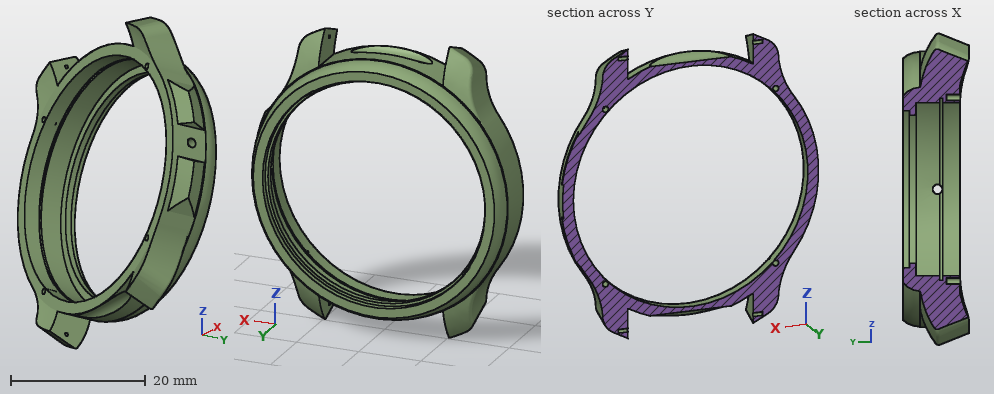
import cadquery as cq
import math


CUT_MARGIN = 1.0

CASE_RADIUS = 20.5
CASE_HEIGHT = 6.0
TOTAL_HEIGHT = 8.5
SHOULDER = 0.1
BEZEL_BASE_RADIUS = CASE_RADIUS - SHOULDER
BEZEL_TOP_RADIUS = 19.4
BEZEL_MID = (20.14, 7.32)
BORE_RADIUS = 18.7
OPENING_RADIUS = 17.45
BORE_DEPTH = 6.5
GROOVE_RADIUS = 19.15
GROOVE_START = 2.6
GROOVE_WIDTH = 0.4
GLASS_SEAT_RADIUS = 17.9
GLASS_SEAT_DEPTH = 1.0

SCREW_OFFSET = 13.6
SCREW_RADIUS = 0.42
SCREW_DEPTH = 2.0

LUG_GAP = 20.0
LUG_DROP = 1.36
LUG_ROOT_RADIUS = 19.5
LUG_HEEL_RADIUS = 23.55
LUG_TIP_RADIUS = 25.28
LUG_TIP_Y = 3.35
LUG_UNDERSIDE_MID = (22.4, -0.73)
LUG_TOP_MID = (23.3, 4.78)
LUG_FLARE_RADIUS = 12.7
LUG_FLARE_ANGLE = 36.4
LUG_FLARE_OVERRUN = 10.0
LUG_CORNER_RADIUS = 2.8
LUG_EDGE_RADIUS = 0.55
LUG_CORNER_EDGE = cq.selectors.BoxSelector((12.5, 0, 18.5), (15.5, 2.5, 21))
LUG_TOP_EDGES = cq.selectors.BoxSelector((10.5, 3, 15), (15.5, 5.6, 23))

PIN_Y = 1.65
PIN_Z = 21.2
PIN_CLEARANCE_RADIUS = 1.75
PIN_HOLE_RADIUS = 0.25
PIN_HOLE_DEPTH = 1.5

CROWN_Y = 3.35
CROWN_HOLE_RADIUS = 0.7
GUARD_HALF_WIDTH = 2.38
GUARD_RIDGE_RADIUS = 21.37
GUARD_FAR_END = (17.67, 10.4)
GUARD_FAR_SLOPE = -45.0
GUARD_NEAR_END = (20.4, 2.6)
GUARD_NEAR_SLOPE = 32.0
GUARD_END_INSET = 1.0
GUARD_END_REACH = 4.0
GUARD_ROOT_RADIUS = 20.0


def revolve_about_case_axis(profile):
    """Close a (radius, y) profile and turn it around the Y axis."""
    return profile.close().revolve(360, (0, 0, 0), (0, 1, 0))


def prism_along_y(outline, y_min, y_max):
    """Extrude an (x, z) outline, closing it first, from y_min to y_max."""
    return outline.close().extrude(-(y_max - y_min)).translate((0, y_min, 0))


def polar(radius, angle):
    """Point at a radius and an angle in degrees from +X toward +Z."""
    turn = math.radians(angle)
    return (radius * math.cos(turn), radius * math.sin(turn))


def along(point, angle, distance):
    """Point reached from another by moving a distance at an angle in degrees."""
    dx, dz = polar(distance, angle)
    return (point[0] + dx, point[1] + dz)


def case_ring():
    profile = (
        cq.Workplane("XY")
        .moveTo(BORE_RADIUS, 0)
        .lineTo(CASE_RADIUS, 0)
        .lineTo(CASE_RADIUS, CASE_HEIGHT - SHOULDER)
        .lineTo(BEZEL_BASE_RADIUS, CASE_HEIGHT)
        .threePointArc(BEZEL_MID, (BEZEL_TOP_RADIUS, TOTAL_HEIGHT))
        .lineTo(GLASS_SEAT_RADIUS, TOTAL_HEIGHT)
        .lineTo(GLASS_SEAT_RADIUS, TOTAL_HEIGHT - GLASS_SEAT_DEPTH)
        .lineTo(OPENING_RADIUS, TOTAL_HEIGHT - GLASS_SEAT_DEPTH)
        .lineTo(OPENING_RADIUS, BORE_DEPTH)
        .lineTo(BORE_RADIUS, BORE_DEPTH)
        .lineTo(BORE_RADIUS, GROOVE_START + GROOVE_WIDTH)
        .lineTo(GROOVE_RADIUS, GROOVE_START + GROOVE_WIDTH)
        .lineTo(GROOVE_RADIUS, GROOVE_START)
        .lineTo(BORE_RADIUS, GROOVE_START)
    )
    return revolve_about_case_axis(profile)


def lug():
    """Lug in the +X, +Z quadrant."""
    inner_x = LUG_GAP / 2
    turned = revolve_about_case_axis(
        cq.Workplane("XY")
        .moveTo(LUG_ROOT_RADIUS, 0)
        .lineTo(CASE_RADIUS, 0)
        .threePointArc(LUG_UNDERSIDE_MID, (LUG_HEEL_RADIUS, -LUG_DROP))
        .lineTo(LUG_TIP_RADIUS, LUG_TIP_Y)
        .threePointArc(LUG_TOP_MID, (CASE_RADIUS, CASE_HEIGHT - SHOULDER))
        .lineTo(LUG_ROOT_RADIUS, CASE_HEIGHT - SHOULDER)
    )
    flare_centre = polar(CASE_RADIUS + LUG_FLARE_RADIUS, LUG_FLARE_ANGLE)
    flare_start = polar(CASE_RADIUS, LUG_FLARE_ANGLE)
    flare_middle = along(flare_centre, 180 + LUG_FLARE_ANGLE / 2, LUG_FLARE_RADIUS)
    flare_end = along(flare_centre, 180 - LUG_FLARE_OVERRUN, LUG_FLARE_RADIUS)
    beyond_tip = LUG_TIP_RADIUS + CUT_MARGIN
    outline = (
        cq.Workplane("XZ")
        .moveTo(*polar(LUG_ROOT_RADIUS, LUG_FLARE_ANGLE))
        .lineTo(*flare_start)
        .threePointArc(flare_middle, flare_end)
        .lineTo(flare_end[0], beyond_tip)
        .lineTo(inner_x, beyond_tip)
        .lineTo(inner_x, math.sqrt(LUG_ROOT_RADIUS**2 - inner_x**2))
    )
    blank = turned.intersect(prism_along_y(outline, -LUG_DROP - CUT_MARGIN, CASE_HEIGHT))
    blank = blank.edges(LUG_CORNER_EDGE).fillet(LUG_CORNER_RADIUS)
    return blank.edges(LUG_TOP_EDGES).fillet(LUG_EDGE_RADIUS)


def four_lugs():
    upper_right = lug()
    upper = upper_right.union(upper_right.mirror("YZ"))
    return upper.union(upper.mirror("XY"))


def crown_guard():
    """Ridged crown guard above the crown, following the case wall."""
    ridge = revolve_about_case_axis(
        cq.Workplane("XY")
        .moveTo(GUARD_ROOT_RADIUS, CROWN_Y - GUARD_HALF_WIDTH)
        .lineTo(CASE_RADIUS, CROWN_Y - GUARD_HALF_WIDTH)
        .lineTo(GUARD_RIDGE_RADIUS, CROWN_Y)
        .lineTo(CASE_RADIUS, CROWN_Y + GUARD_HALF_WIDTH)
        .lineTo(GUARD_ROOT_RADIUS, CROWN_Y + GUARD_HALF_WIDTH)
    )
    outline = (
        cq.Workplane("XZ")
        .moveTo(*along(GUARD_FAR_END, GUARD_FAR_SLOPE, -GUARD_END_INSET))
        .lineTo(*along(GUARD_FAR_END, GUARD_FAR_SLOPE, GUARD_END_REACH))
        .lineTo(*along(GUARD_NEAR_END, GUARD_NEAR_SLOPE, GUARD_END_REACH))
        .lineTo(*along(GUARD_NEAR_END, GUARD_NEAR_SLOPE, -GUARD_END_INSET))
    )
    return ridge.intersect(prism_along_y(outline, 0, CASE_HEIGHT))


def crown_hole():
    return (
        cq.Workplane("YZ", origin=(BORE_RADIUS - CUT_MARGIN, 0, 0))
        .center(CROWN_Y, 0)
        .circle(CROWN_HOLE_RADIUS)
        .extrude(CASE_RADIUS - BORE_RADIUS + 2 * CUT_MARGIN)
    )


def screw_holes():
    return (
        cq.Workplane("XZ")
        .rect(2 * SCREW_OFFSET, 2 * SCREW_OFFSET, forConstruction=True)
        .vertices()
        .circle(SCREW_RADIUS)
        .extrude(-SCREW_DEPTH)
    )


def pin_cylinder(z, radius, length):
    """Cylinder along X, centred between a pair of lugs."""
    return (
        cq.Workplane("YZ")
        .center(PIN_Y, z)
        .circle(radius)
        .extrude(length / 2, both=True)
    )


case = case_ring().union(four_lugs())
guard = crown_guard()
case = case.union(guard).union(guard.mirror("XY"))
case = case.cut(crown_hole()).cut(screw_holes())
for pin_z in (PIN_Z, -PIN_Z):
    case = case.cut(pin_cylinder(pin_z, PIN_CLEARANCE_RADIUS, LUG_GAP))
    case = case.cut(pin_cylinder(pin_z, PIN_HOLE_RADIUS, LUG_GAP + 2 * PIN_HOLE_DEPTH))

result = case